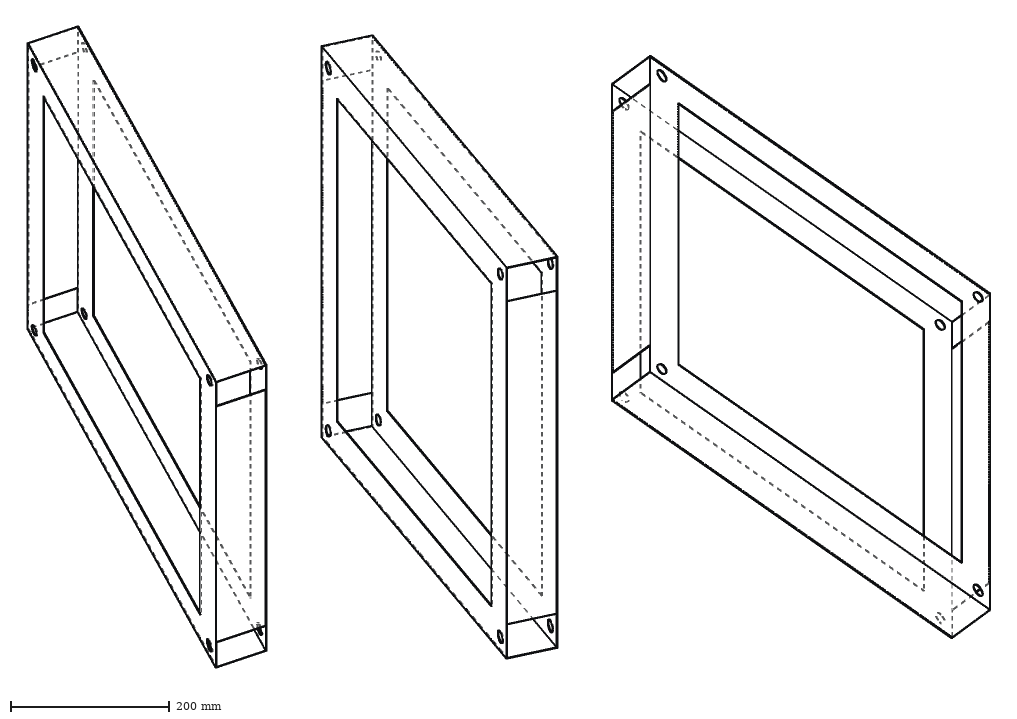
import cadquery as cq

WIDTH = 600.0
DEPTH = 70.0
HEIGHT = 573.0
SHEET = 1.4

BORDER = 50.0

SLOT_WIDTH = 14.0
SLOT_LENGTH = 17.0
SLOT_INSET = 21.0
SLOT_ANGLE = 45.0

WINDOW_WIDTH = WIDTH - 2 * BORDER
WINDOW_HEIGHT = HEIGHT - 2 * BORDER


def make_outer_box():
    """Solid block enclosing the whole frame."""
    return cq.Workplane("XY").box(WIDTH, DEPTH, HEIGHT)


def cut_interior(body):
    """Hollow the block, leaving sheet-thick walls on all six sides."""
    cavity = cq.Workplane("XY").box(WIDTH - 2 * SHEET, DEPTH - 2 * SHEET, HEIGHT - 2 * SHEET)
    return body.cut(cavity)


def cut_window(body):
    """Open the rectangular window through the front and back plates."""
    window = cq.Workplane("XY").box(WINDOW_WIDTH, DEPTH, WINDOW_HEIGHT)
    return body.cut(window)


def cut_open_corners(body):
    """Shorten both side walls so the four corners are open sideways."""
    opening_height = BORDER - SHEET
    opening_center_z = WINDOW_HEIGHT / 2 + opening_height / 2
    for side in (-1, 1):
        opening = (
            cq.Workplane("XY")
            .box(WIDTH, DEPTH - 2 * SHEET, opening_height)
            .translate((0, 0, side * opening_center_z))
        )
        body = body.cut(opening)
    return body


def cut_mounting_slots(body):
    """Cut the short diagonal corner slots through the front and back plates."""
    for side_x in (-1, 1):
        for side_z in (-1, 1):
            center = (side_x * (WIDTH / 2 - SLOT_INSET), side_z * (HEIGHT / 2 - SLOT_INSET))
            slot = (
                cq.Workplane("XZ")
                .center(*center)
                .slot2D(SLOT_LENGTH, SLOT_WIDTH, side_x * side_z * SLOT_ANGLE)
                .extrude(DEPTH / 2, both=True)
            )
            body = body.cut(slot)
    return body


frame = make_outer_box()
frame = cut_interior(frame)
frame = cut_window(frame)
frame = cut_open_corners(frame)
result = cut_mounting_slots(frame)